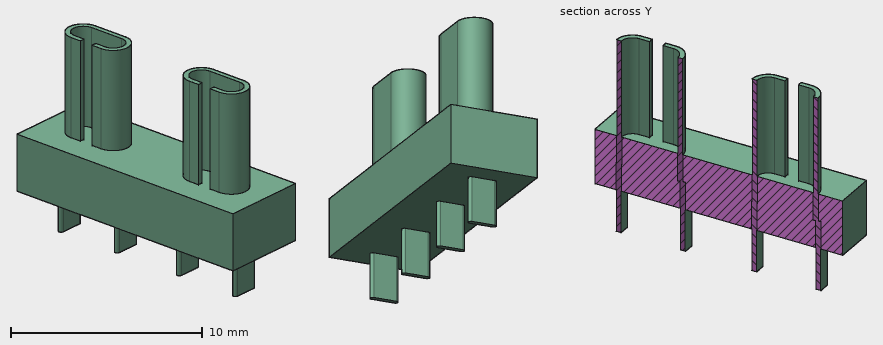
import cadquery as cq

housing_length = 15.0
housing_width = 5.0
housing_height = 3.3

sheet_thickness = 0.3
terminal_pitch = 8.2
terminal_row_offset = 0.08

sleeve_length = 4.0
sleeve_width = 1.94
sleeve_rise = 5.79
sleeve_gap = 0.81
sleeve_base_z = housing_height / 2

pin_width = 1.6
pin_drop = 2.5
pin_spacing = 3.9
pin_pair_offset = -0.06


def make_sleeve():
    """Oval tube, open at both ends, with a full-height gap in its -Y wall."""
    height = sleeve_rise + housing_height - sleeve_base_z
    base = cq.Workplane("XY").workplane(offset=sleeve_base_z)
    outer = base.slot2D(sleeve_length, sleeve_width).extrude(height)
    inner = base.slot2D(
        sleeve_length - 2 * sheet_thickness, sleeve_width - 2 * sheet_thickness
    ).extrude(height)
    gap = base.center(0, -sleeve_width / 2).rect(sleeve_gap, sleeve_width).extrude(height)
    return outer.cut(inner).cut(gap)


def make_pins():
    """Two flat pins with rounded edges, running from their tips up to the sleeve."""
    pin_centres = [(pin_pair_offset + side * pin_spacing / 2, 0) for side in (-1, 1)]
    return (
        cq.Workplane("XY")
        .workplane(offset=-pin_drop)
        .pushPoints(pin_centres)
        .slot2D(pin_width, sheet_thickness, angle=90)
        .extrude(pin_drop + sleeve_base_z)
    )


def make_terminal(centre_x):
    """One terminal: the pins join the end walls of the sleeve inside the housing."""
    return make_sleeve().union(make_pins()).translate((centre_x, 0, 0))


def make_housing(terminals):
    """Plain block with a matching recess for every terminal."""
    block = cq.Workplane("XY").box(
        housing_length, housing_width, housing_height, centered=(True, True, False)
    )
    for terminal in terminals:
        block = block.cut(terminal)
    return block


terminals = [
    make_terminal(terminal_row_offset + side * terminal_pitch / 2) for side in (-1, 1)
]
housing = make_housing(terminals)

result = cq.Compound.makeCompound(
    [housing.solids().val(), *[terminal.solids().val() for terminal in terminals]]
)